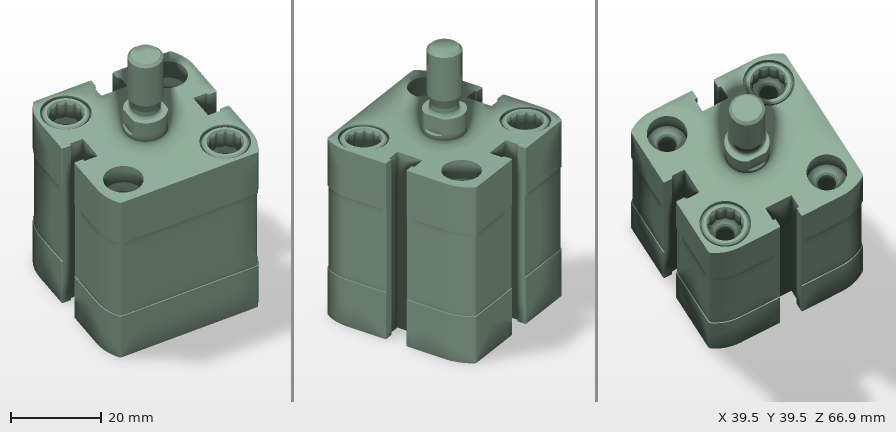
import cadquery as cq
import math

body_width = 39.5
housing_height = 45.45
cap_height = 12.0
barrel_inset = 0.235
corner_radius = 11.35
corner_edge_radius = 0.9
half_width = body_width / 2

slot_opening = 5.4
slot_width = 6.7
slot_depth = 5.7
slot_lip = 2.3
slot_mouth_chamfer = 0.17
side_slot_lip_round = 0.3
side_slot_root_round = 0.5
side_slot_floor_round = 0.35

hole_spacing = 26.0
hole_diameter = 4.15
hole_rim_diameter = 5.0
counterbore_diameter = 9.0
counterbore_depth = 4.75
hole_offset = hole_spacing / 2

groove_diameter = 11.5
groove_depth = 1.0
boss_diameter = 10.5
boss_top_diameter = 9.75
boss_chamfer_height = 0.4
socket_mouth_diameter = 8.4
socket_land_diameter = 7.5
socket_mouth_depth = 0.95
socket_root_diameter = 8.15
socket_teeth = 12
socket_land_angle = 12.0

rod_top = 66.85
rod_diameter = 10.0
shoulder_height = 50.9
thread_diameter = 7.95
thread_chamfer = 0.7
thread_bottom = 54.95
neck_diameter = 6.1
neck_top = 52.5
neck_fillet = 0.6
across_flats = 8.8
flats_bottom = 46.7
flat_runout = 0.35


def housing_slice(inset, bottom, height):
    """Square block whose Y faces run into the X faces through large corner arcs."""
    half = half_width - inset
    radius = corner_radius - inset
    arc_x = hole_offset
    arc_y = half - radius
    end_y = arc_y + math.sqrt(radius**2 - (half - arc_x) ** 2)
    middle_angle = (math.pi / 2 + math.atan2(end_y - arc_y, half - arc_x)) / 2
    middle_x = arc_x + radius * math.cos(middle_angle)
    middle_y = arc_y + radius * math.sin(middle_angle)
    outline = (
        cq.Workplane("XY", origin=(0, 0, bottom))
        .moveTo(-arc_x, half)
        .lineTo(arc_x, half)
        .threePointArc((middle_x, middle_y), (half, end_y))
        .lineTo(half, -end_y)
        .threePointArc((middle_x, -middle_y), (arc_x, -half))
        .lineTo(-arc_x, -half)
        .threePointArc((-middle_x, -middle_y), (-half, -end_y))
        .lineTo(-half, end_y)
        .threePointArc((-middle_x, middle_y), (-arc_x, half))
        .close()
    )
    block = outline.extrude(height)
    for side in ("<X", ">X"):
        block = block.faces(side).edges("|Z").fillet(corner_edge_radius)
    return block


def slot_cutter(inset, mouth_chamfer, bottom, height, rounded):
    """T-shaped slot on the -Y face."""
    face = inset - half_width
    lip_end = slot_lip - half_width
    floor = slot_depth - half_width
    mouth = slot_opening / 2
    side = slot_width / 2
    right_half = [(mouth, face + mouth_chamfer), (mouth, lip_end), (side, lip_end), (side, floor)]
    if mouth_chamfer:
        right_half = [(mouth + mouth_chamfer, face)] + right_half
    left_half = [(-x, y) for x, y in reversed(right_half)]
    cutter = (
        cq.Workplane("XY", origin=(0, 0, bottom))
        .polyline(right_half + left_half)
        .close()
        .extrude(height)
    )
    if rounded:
        rounds = (
            (mouth, lip_end, side_slot_lip_round),
            (side, lip_end, side_slot_root_round),
            (side, floor, side_slot_floor_round),
        )
        for x, y, radius in rounds:
            for sign in (-1, 1):
                nearest = cq.selectors.NearestToPointSelector((sign * x, y, bottom + height / 2))
                cutter = cutter.edges("|Z").edges(nearest).fillet(radius)
    return cutter


def slotted_slice(inset, mouth_chamfer, bottom, height):
    """Housing slice with slots in the -Y, +Y and -X faces."""
    block = housing_slice(inset, bottom, height)
    plain = slot_cutter(inset, mouth_chamfer, bottom, height, False)
    rounded = slot_cutter(inset, mouth_chamfer, bottom, height, True)
    axis = ((0, 0, 0), (0, 0, 1))
    return block.cut(plain).cut(plain.rotate(*axis, 180)).cut(rounded.rotate(*axis, -90))


def revolved(profile):
    """Solid of revolution about Z from (radius, height) points."""
    return cq.Workplane("XZ").polyline(profile).close().revolve(360, (0, 0, 0), (0, 1, 0))


def through_hole(floor):
    """Through hole with a countersunk mouth at the given height."""
    rim = hole_rim_diameter / 2
    radius = hole_diameter / 2
    return revolved([(0, 0), (radius, 0), (radius, floor - rim + radius), (rim, floor), (0, floor)])


def counterbored_hole():
    """Through hole under a plain counterbore."""
    floor = housing_height - counterbore_depth
    bore = cq.Workplane("XY", origin=(0, 0, floor)).circle(counterbore_diameter / 2).extrude(counterbore_depth)
    return through_hole(floor).union(bore)


def splined_socket(floor):
    """Twelve-point socket: flat tooth crests with a V groove between neighbours."""
    pitch = 360 / socket_teeth
    outline = []
    for tooth in range(socket_teeth):
        for diameter, angle in (
            (socket_root_diameter, 0),
            (socket_land_diameter, (pitch - socket_land_angle) / 2),
            (socket_land_diameter, (pitch + socket_land_angle) / 2),
        ):
            turn = math.radians(tooth * pitch + angle)
            outline.append((diameter / 2 * math.cos(turn), diameter / 2 * math.sin(turn)))
    return cq.Workplane("XY", origin=(0, 0, floor)).polyline(outline).close().extrude(counterbore_depth)


def bushing_hole():
    """Through hole under a splined socket, ringed by the groove around the bushing boss."""
    top = housing_height
    floor = top - counterbore_depth
    mouth = revolved([
        (0, top),
        (socket_mouth_diameter / 2, top),
        (socket_land_diameter / 2, top - socket_mouth_depth),
        (0, top - socket_mouth_depth),
    ])
    groove = revolved([
        (boss_top_diameter / 2, top),
        (groove_diameter / 2, top),
        (groove_diameter / 2, top - groove_depth),
        (boss_diameter / 2, top - groove_depth),
        (boss_diameter / 2, top - boss_chamfer_height),
    ])
    return through_hole(floor).union(splined_socket(floor)).union(mouth).union(groove)


def make_housing():
    barrel_height = housing_height - 2 * cap_height
    upper_cap_bottom = housing_height - cap_height
    housing = (
        slotted_slice(barrel_inset, 0, cap_height, barrel_height)
        .union(slotted_slice(0, slot_mouth_chamfer, 0, cap_height))
        .union(slotted_slice(0, slot_mouth_chamfer, upper_cap_bottom, cap_height))
    )
    for sign in (-1, 1):
        housing = housing.cut(counterbored_hole().translate((sign * hole_offset, -sign * hole_offset, 0)))
        housing = housing.cut(bushing_hole().translate((sign * hole_offset, sign * hole_offset, 0)))
    return housing


def flat_cutter():
    """Removes one wrench flat on the -Y side; the ledge below it slopes outward and down."""
    flat = across_flats / 2
    outer = rod_diameter / 2
    return (
        cq.Workplane("YZ", origin=(-outer, 0, 0))
        .polyline([
            (-flat, shoulder_height),
            (-flat, flats_bottom),
            (-outer, flats_bottom - flat_runout),
            (-outer, shoulder_height),
        ])
        .close()
        .extrude(rod_diameter)
    )


def make_rod():
    """Rod standing on the housing: collar with two flats, relieved neck and threaded end."""
    thread = thread_diameter / 2
    neck = neck_diameter / 2
    rod = revolved([
        (0, housing_height),
        (rod_diameter / 2, housing_height),
        (rod_diameter / 2, shoulder_height),
        (neck, shoulder_height),
        (neck, neck_top),
        (thread, thread_bottom),
        (thread, rod_top - thread_chamfer),
        (thread - thread_chamfer, rod_top),
        (0, rod_top),
    ])
    for height in (shoulder_height, neck_top):
        low_corner = (-thread, -thread, height - neck_fillet)
        high_corner = (thread, thread, height + neck_fillet)
        neck_end = cq.selectors.BoxSelector(low_corner, high_corner, boundingbox=True)
        rod = rod.edges("%CIRCLE").edges(neck_end).fillet(neck_fillet)
    flat = flat_cutter()
    return rod.cut(flat).cut(flat.mirror("XZ"))


housing = make_housing()
rod = make_rod()
result = cq.Compound.makeCompound([housing.val(), rod.val()])